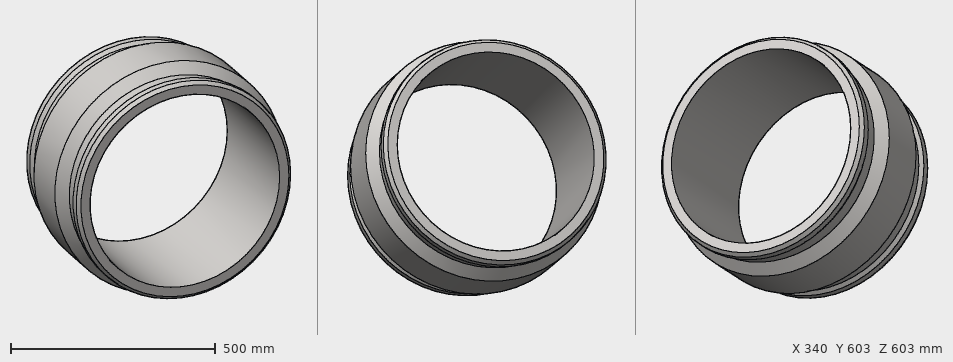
import cadquery as cq

length = 340.0
body_diameter = 603.0
rim_diameter = 566.0
neck_diameter = 549.0
bore_diameter = 500.0

body_width = 135.0
shoulder_width = 27.0
rim_flat_width = 20.0
rim_bevel_width = 9.5

body_radius = body_diameter / 2
rim_radius = rim_diameter / 2
neck_radius = neck_diameter / 2
bore_radius = bore_diameter / 2

end_x = length / 2
rim_outer_x = end_x - rim_bevel_width
rim_inner_x = rim_outer_x - rim_flat_width
neck_outer_x = rim_inner_x - rim_bevel_width
body_x = body_width / 2
neck_inner_x = body_x + shoulder_width

right_contour = [
    (body_x, body_radius),
    (neck_inner_x, neck_radius),
    (neck_outer_x, neck_radius),
    (rim_inner_x, rim_radius),
    (rim_outer_x, rim_radius),
    (end_x, neck_radius),
    (end_x, bore_radius),
]
left_contour = [(-x, radius) for x, radius in reversed(right_contour)]

result = (
    cq.Workplane("XY")
    .polyline(left_contour + right_contour)
    .close()
    .revolve(360, (0, 0, 0), (1, 0, 0))
)